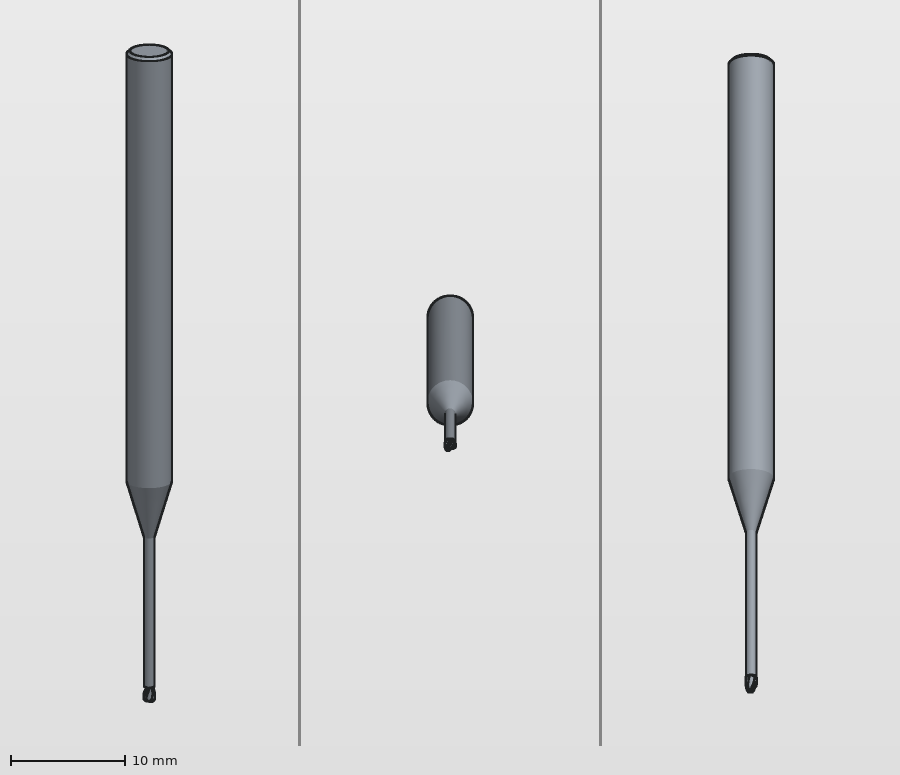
import cadquery as cq
import math


overall_length = 60.0
shank_diameter = 4.0
shank_chamfer = 0.3
shank_length = 39.7
neck_diameter = 0.95
neck_end_height = 15.15
cutter_diameter = 1.0
cutter_length = 1.4
corner_radius = 0.3
blade_thickness = 0.25
core_diameter = 0.55
helix_angle = 35.0

shank_radius = shank_diameter / 2
neck_radius = neck_diameter / 2
cutter_radius = cutter_diameter / 2
cone_end_height = overall_length - shank_length
helix_lead = math.pi * cutter_diameter / math.tan(math.radians(helix_angle))
flute_twist = 360.0 * cutter_length / helix_lead
core_radius = core_diameter / 2
blade_width = 1.2 * cutter_diameter

profile_plane = "YZ"
axis_start = (0, 0, 0)
axis_end = (0, 1, 0)


def make_holder():
    """Chamfered shank, cone and slender neck, turned as one piece."""
    return (
        cq.Workplane(profile_plane)
        .moveTo(0, cutter_length)
        .lineTo(neck_radius, cutter_length)
        .lineTo(neck_radius, neck_end_height)
        .lineTo(shank_radius, cone_end_height)
        .lineTo(shank_radius, overall_length - shank_chamfer)
        .lineTo(shank_radius - shank_chamfer, overall_length)
        .lineTo(0, overall_length)
        .close()
        .revolve(360, axis_start, axis_end)
    )


def make_cutter_envelope():
    """Round bar with a rounded lower corner."""
    return (
        cq.Workplane(profile_plane)
        .lineTo(cutter_radius - corner_radius, 0)
        .radiusArc((cutter_radius, corner_radius), -corner_radius)
        .lineTo(cutter_radius, cutter_length)
        .lineTo(0, cutter_length)
        .close()
        .revolve(360, axis_start, axis_end)
    )


def make_core():
    """Round core of the cutting head, with a hemispherical lower end."""
    return (
        cq.Workplane(profile_plane)
        .radiusArc((core_radius, core_radius), -core_radius)
        .lineTo(core_radius, cutter_length)
        .lineTo(0, cutter_length)
        .close()
        .revolve(360, axis_start, axis_end)
    )


def make_cutter():
    """Two-flute cutting head: a blade twisted along Z around the core, trimmed by the envelope."""
    blade = (
        cq.Workplane("XY")
        .rect(blade_width, blade_thickness)
        .twistExtrude(cutter_length, flute_twist)
    )
    return make_cutter_envelope().intersect(blade).union(make_core())


holder = make_holder()
cutter = make_cutter()

result = cq.Compound.makeCompound([holder.val(), cutter.val()])